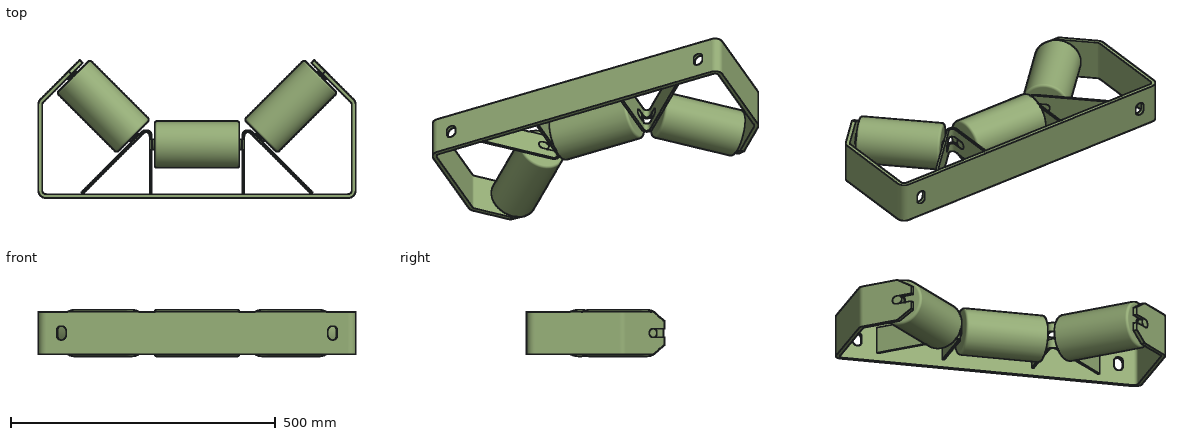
import cadquery as cq
import math


frame_length = 600.0
frame_height = 261.0
frame_thickness = 8.0
frame_width = 80.5
frame_bend_radius = 15.0
arm_tip_width = 45.5
arm_taper_length = 30.0

mount_slot_spacing = 512.5
mount_slot_width = 18.0
mount_slot_height = 26.5

roller_diameter = 89.0
roller_length = 160.0
roller_edge_radius = 5.0
axle_diameter = 20.5
axle_flat_width = 15.5
axle_flat_lead = 2.0
mount_span = 171.0

middle_roller_y = 101.5
side_roller_x = -177.0
side_roller_y = 173.5
side_roller_angle = -45.0

bracket_thickness = 4.0
bracket_width = 50.5
bracket_bend_radius = 11.0

half_span = mount_span / 2
diagonal = math.sqrt(2)
side_roller_rise = side_roller_y - side_roller_x


def bent_strap(points, thickness, width, outer_bend_radius):
    """Strap of constant section whose mid-line follows the points with rounded bends."""
    corners = [cq.Vector(x, y, 0) for x, y in points]
    path = cq.Wire.makePolygon(corners)
    bends = path.Vertices()[1:-1]
    path = path.fillet(outer_bend_radius - thickness / 2, bends)
    section_plane = cq.Plane(corners[0], xDir=(0, 0, 1), normal=corners[1] - corners[0])
    return cq.Workplane(section_plane).rect(width, thickness).sweep(cq.Workplane(path))


def place_on_side(body):
    """Move a body from the roller's own axes to the left roller position."""
    turned = body.rotate((0, 0, 0), (0, 0, 1), side_roller_angle)
    return turned.translate((side_roller_x, side_roller_y, 0))


def place_in_middle(body):
    return body.translate((0, middle_roller_y, 0))


def mirrored(body):
    return body.mirror("YZ")


def flattened_axle(start_x, end_x):
    """Stretch of axle with rounded sides and flats above and below."""
    return (
        cq.Workplane("YZ", origin=(start_x, 0, 0))
        .slot2D(axle_diameter, axle_flat_width)
        .extrude(end_x - start_x)
    )


def roller(left_plate_thickness, right_plate_thickness):
    """Roller along X with an axle whose ends are flush with the far faces of its plates."""
    body = (
        cq.Workplane("YZ", origin=(-roller_length / 2, 0, 0))
        .circle(roller_diameter / 2)
        .extrude(roller_length)
        .edges("%CIRCLE")
        .fillet(roller_edge_radius)
    )
    flat_start = half_span - axle_flat_lead
    round_axle = cq.Workplane("YZ").circle(axle_diameter / 2).extrude(flat_start, both=True)
    left_end = flattened_axle(-half_span - left_plate_thickness, -flat_start)
    right_end = flattened_axle(flat_start, half_span + right_plate_thickness)
    return body.union(round_axle).union(left_end).union(right_end)


def axle_slots():
    """Cutter for the open slots at both axle ends; they open towards the roller's +Y."""
    slot_depth = 2 * bracket_bend_radius
    slot_reach = 4 * axle_diameter
    left_seat = flattened_axle(-half_span - slot_depth, -half_span)
    right_seat = flattened_axle(half_span, half_span + slot_depth)
    mouth_centre = half_span + slot_depth / 2
    mouths = (
        cq.Workplane("XY")
        .pushPoints([(-mouth_centre, slot_reach / 2), (mouth_centre, slot_reach / 2)])
        .box(slot_depth, slot_reach, axle_flat_width)
    )
    return mouths.union(left_seat).union(right_seat)


def arm_tapers(arm_tip):
    """Cutter for the two sloping edges that narrow the left arm towards its tip."""
    tip_half_width = arm_tip_width / 2
    edge_half_width = frame_width / 2
    tip_plane = cq.Plane((*arm_tip, 0), xDir=(-1, -1, 0), normal=(1, -1, 0))
    cutter = cq.Workplane(tip_plane)
    for side in (1, -1):
        corner = [
            (0, side * tip_half_width),
            (0, side * edge_half_width),
            (arm_taper_length, side * edge_half_width),
        ]
        cutter = cutter.add(
            cq.Workplane(tip_plane).polyline(corner).close().extrude(frame_thickness, both=True)
        )
    return cutter.combine()


def make_frame():
    half = frame_thickness / 2
    wall_x = -frame_length / 2 + half
    arm_rise = side_roller_rise + diagonal * (half_span + half)
    tip_y = frame_height - half / diagonal
    arm_tip = (tip_y - arm_rise, tip_y)
    left_points = [arm_tip, (wall_x, wall_x + arm_rise), (wall_x, half)]
    right_points = [(-x, y) for x, y in reversed(left_points)]
    strap = bent_strap(left_points + right_points, frame_thickness, frame_width, frame_bend_radius)

    mount_slots = (
        cq.Workplane("XZ")
        .pushPoints([(-mount_slot_spacing / 2, 0), (mount_slot_spacing / 2, 0)])
        .slot2D(mount_slot_height, mount_slot_width, 90)
        .extrude(-frame_thickness)
    )
    arm_cuts = arm_tapers(arm_tip).union(place_on_side(axle_slots()))
    return strap.cut(mount_slots).cut(arm_cuts).cut(mirrored(arm_cuts))


def make_left_bracket():
    half = bracket_thickness / 2
    upright_x = -half_span - half
    leg_rise = side_roller_rise - diagonal * (half_span + half)
    foot_y = frame_thickness + half / diagonal
    points = [
        (foot_y - leg_rise, foot_y),
        (upright_x, upright_x + leg_rise),
        (upright_x, frame_thickness),
    ]
    strap = bent_strap(points, bracket_thickness, bracket_width, bracket_bend_radius)
    return strap.cut(place_in_middle(axle_slots())).cut(place_on_side(axle_slots()))


frame = make_frame()
left_bracket = make_left_bracket()
brackets = [left_bracket, mirrored(left_bracket)]
middle_roller = place_in_middle(roller(bracket_thickness, bracket_thickness))
left_roller = place_on_side(roller(frame_thickness, bracket_thickness))
rollers = [left_roller, middle_roller, mirrored(left_roller)]

result = cq.Compound.makeCompound([body.val() for body in [frame, *brackets, *rollers]])